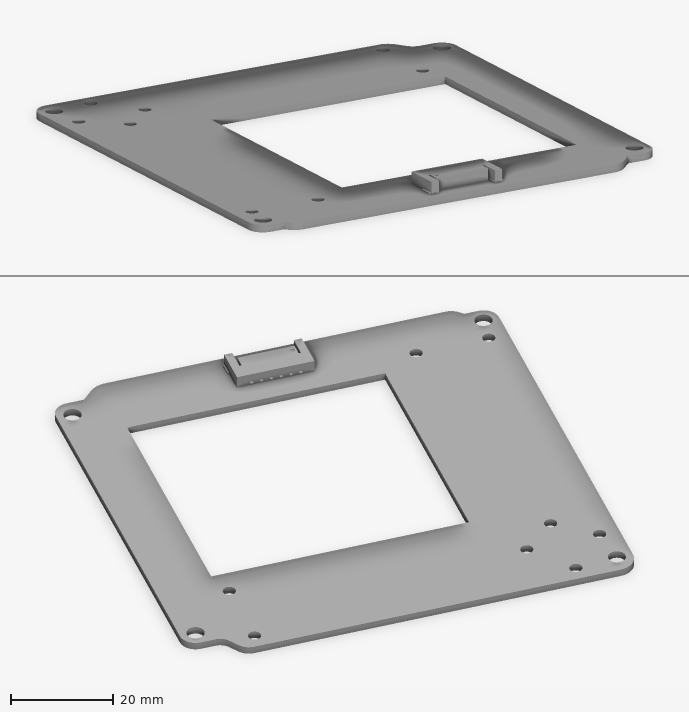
import cadquery as cq

BOARD_WIDTH = 89.1
BOARD_LENGTH = 92.2
BOARD_THICKNESS = 1.6
RIGHT = BOARD_WIDTH / 2
LEFT = -RIGHT
BACK = BOARD_LENGTH / 2
FRONT = -BACK

BACK_LEFT_STEP = 4.7
BACK_LEFT_SLOPE_START = 7.7
BACK_LEFT_SHOULDER = 10.9
BACK_RIGHT_STEP = 3.6
BACK_RIGHT_SLOPE_START = 6.9
BACK_RIGHT_SHOULDER = 10.5
FRONT_RIGHT_STEP = 1.8
FRONT_RIGHT_SLOPE_START = 6.1
FRONT_RIGHT_SHOULDER = 7.9

CORNER_RADIUS = 3.2
FRONT_LEFT_RADIUS = 3.9
BACK_LEFT_HOLLOW_RADIUS = 2.8
BACK_RIGHT_SHOULDER_RADIUS = 4.6

WINDOW_LEFT = -20.55
WINDOW_WIDTH = 50.3
WINDOW_FRONT = -19.2
WINDOW_LENGTH = 53.3

CORNER_HOLE_INSET = 3.2
CORNER_HOLE_Y = BACK - CORNER_HOLE_INSET
CORNER_HOLE_DIAMETER = 3.6
CORNER_HOLES = [(-36.6, CORNER_HOLE_Y), (37.1, CORNER_HOLE_Y), (39.5, -CORNER_HOLE_Y)]
FRONT_LEFT_HOLE_DIAMETER = 3.5
FRONT_LEFT_HOLE = (-40.5, -CORNER_HOLE_Y)

SMALL_HOLE_DIAMETER = 2.6
LEFT_GROUP_X = (-41.2, -26.1)
LEFT_GROUP_Y = (-34.1, 32.3)
FRONT_GROUP_X = (-32.4, 33.9)
FRONT_GROUP_Y = (-42.0, -27.0)

CONNECTOR_HEIGHT = 2.6
CONNECTOR_LEFT = 34.8
CONNECTOR_DEPTH = 7.65
CONNECTOR_WIDTH = 16.0
CONNECTOR_Y = 1.7
CONNECTOR_RIGHT = CONNECTOR_LEFT + CONNECTOR_DEPTH
ARM_WIDTH = 1.7
ARM_OVERHANG = 1.75
SLIT_WIDTH = 0.5
SLIT_LENGTH = 2.6
ARM_INNER = CONNECTOR_WIDTH / 2 - ARM_WIDTH

TAB_LENGTH = 2.8
TAB_SETBACK = 0.3
TAB_PROUD_OUTSIDE = 0.4
TAB_PROUD_INSIDE = 0.2
TAB_THICKNESS = 0.4

PIN_COUNT = 6
PIN_PITCH = 2.0
PIN_WIDTH = 0.55
PIN_PROUD = 0.5
PIN_BOTTOM = 0.6
PIN_THICKNESS = 0.2

MARK_DIAMETER = 0.8
MARK_DEPTH = 0.2
MARK_FROM_BLOCK_RIGHT = 1.3
MARK_FROM_SLIT = 0.8


def box(x, y, z, length, width, height):
    """Box from its left x, its middle y and its underside z."""
    return cq.Workplane("XY").box(length, width, height, centered=(False, True, False)).translate((x, y, z))


def make_board():
    front_right = RIGHT - FRONT_RIGHT_STEP
    back_right = RIGHT - BACK_RIGHT_STEP
    back_left = LEFT + BACK_LEFT_STEP

    corners = [
        (LEFT, FRONT, FRONT_LEFT_RADIUS),
        (front_right, FRONT, CORNER_RADIUS),
        (front_right, FRONT + FRONT_RIGHT_SLOPE_START, 0),
        (RIGHT, FRONT + FRONT_RIGHT_SHOULDER, CORNER_RADIUS),
        (RIGHT, BACK - BACK_RIGHT_SHOULDER, BACK_RIGHT_SHOULDER_RADIUS),
        (back_right, BACK - BACK_RIGHT_SLOPE_START, 0),
        (back_right, BACK, CORNER_RADIUS),
        (back_left, BACK, CORNER_RADIUS),
        (back_left, BACK - BACK_LEFT_SLOPE_START, BACK_LEFT_HOLLOW_RADIUS),
        (LEFT, BACK - BACK_LEFT_SHOULDER, CORNER_RADIUS),
    ]
    plate = cq.Workplane("XY").polyline([(x, y) for x, y, _ in corners]).close().extrude(BOARD_THICKNESS)
    for x, y, radius in corners:
        if radius > 0:
            nearest = cq.selectors.NearestToPointSelector((x, y, BOARD_THICKNESS / 2))
            plate = plate.edges("|Z").edges(nearest).fillet(radius)

    window = box(
        WINDOW_LEFT, WINDOW_FRONT + WINDOW_LENGTH / 2, 0, WINDOW_WIDTH, WINDOW_LENGTH, BOARD_THICKNESS
    )
    small_holes = [(x, y) for x in LEFT_GROUP_X for y in LEFT_GROUP_Y]
    small_holes += [(x, y) for x in FRONT_GROUP_X for y in FRONT_GROUP_Y]
    plate = plate.cut(window)
    for centres, diameter in [
        (CORNER_HOLES, CORNER_HOLE_DIAMETER),
        ([FRONT_LEFT_HOLE], FRONT_LEFT_HOLE_DIAMETER),
        (small_holes, SMALL_HOLE_DIAMETER),
    ]:
        plate = plate.cut(
            cq.Workplane("XY").pushPoints(centres).circle(diameter / 2).extrude(BOARD_THICKNESS)
        )
    return plate


def make_connector():
    base = BOARD_THICKNESS
    block_right = CONNECTOR_RIGHT - ARM_OVERHANG
    body = box(CONNECTOR_LEFT, CONNECTOR_Y, base, CONNECTOR_DEPTH, CONNECTOR_WIDTH, CONNECTOR_HEIGHT)

    body = body.cut(box(block_right, CONNECTOR_Y, base, ARM_OVERHANG, 2 * ARM_INNER, CONNECTOR_HEIGHT))

    tab_left = CONNECTOR_RIGHT - TAB_SETBACK - TAB_LENGTH
    tab_width = TAB_PROUD_INSIDE + ARM_WIDTH + TAB_PROUD_OUTSIDE
    tab_offset = ARM_INNER - TAB_PROUD_INSIDE + tab_width / 2
    for side in (-1, 1):
        slit_y = CONNECTOR_Y + side * (ARM_INNER - SLIT_WIDTH / 2)
        body = body.cut(
            box(block_right - SLIT_LENGTH, slit_y, base, SLIT_LENGTH, SLIT_WIDTH, CONNECTOR_HEIGHT)
        )
        tab_y = CONNECTOR_Y + side * tab_offset
        body = body.union(box(tab_left, tab_y, base, TAB_LENGTH, tab_width, TAB_THICKNESS))

    for index in range(PIN_COUNT):
        pin_y = CONNECTOR_Y + (index - (PIN_COUNT - 1) / 2) * PIN_PITCH
        pin = box(
            CONNECTOR_LEFT - PIN_PROUD, pin_y, base + PIN_BOTTOM, 2 * PIN_PROUD, PIN_WIDTH, PIN_THICKNESS
        )
        body = body.union(pin)

    mark_x = block_right - MARK_FROM_BLOCK_RIGHT
    mark_y = CONNECTOR_Y - ARM_INNER + SLIT_WIDTH + MARK_FROM_SLIT
    mark = cq.Workplane("XY").circle(MARK_DIAMETER / 2).extrude(MARK_DEPTH)
    return body.cut(mark.translate((mark_x, mark_y, base + CONNECTOR_HEIGHT - MARK_DEPTH)))


board = make_board()
connector = make_connector()

result = cq.Compound.makeCompound([board.val(), connector.val()])